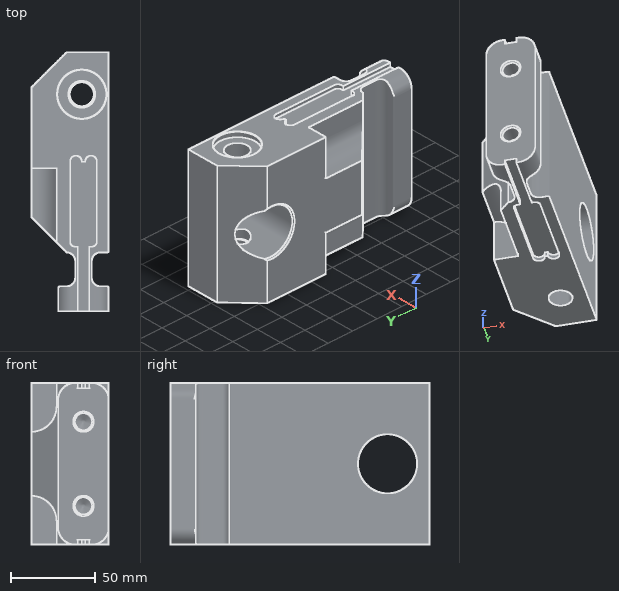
import cadquery as cq
import math

WIDTH = 46.0
LENGTH = 154.0
HEIGHT = 96.0

CENTRE_X = 31.0
FOOT_LENGTH = 15.0
NECK_LENGTH = 20.0
NECK_WIDTH = 10.0
NECK_FILLET = 5.0
BODY_CHAMFER = 21.0
EDGE_ROUND = 1.0
FOOT_CORNER_RADIUS = 10.0
FOOT_HALF_WIDTH = WIDTH - CENTRE_X
BODY_START_Y = FOOT_LENGTH + NECK_LENGTH

NOTCH_DEPTH = 15.0
NOTCH_HEIGHT = 29.0
NOTCH_END_Y = LENGTH - 69.0

BORE_DIAMETER = 35.0
BORE_CHAMFER = 1.0
BORE_Y = LENGTH - 25.0

SCREW_X = 30.0
CLEARANCE_DIAMETER = 16.0
TAPPED_DIAMETER = 14.2
TAPPED_LENGTH = 25.0
COUNTERBORE_DIAMETER = 29.0
COUNTERBORE_DEPTH = 4.0
COUNTERBORE_CHAMFER = 0.25

RECESS_DEPTH = 3.0
RECESS_WIDTH = 16.0
RECESS_START_Y = LENGTH - 115.5
RECESS_END_Y = LENGTH - 61.5
RECESS_FILLET = 3.0
LOBE_RADIUS = 3.5
CHANNEL_WIDTH = 7.0

FOOT_HOLE_DIAMETER = 10.2
FOOT_HOLE_CHAMFER = 1.0
FOOT_HOLE_DEPTH = 12.0
FOOT_HOLE_SPACING = 50.0
DRILL_POINT_ANGLE = 118.0


def box(x_range, y_range, z_range):
    """Axis-aligned box from its limits along X, Y and Z."""
    size = [high - low for low, high in (x_range, y_range, z_range)]
    corner = (x_range[0], y_range[0], z_range[0])
    return cq.Workplane("XY").box(*size, centered=False).translate(corner)


def mirrored_in_z(shape):
    """The shape together with its mirror image about mid-height."""
    return shape.union(shape.mirror("XY", (0, 0, HEIGHT / 2)))


def round_upright_edges(shape, x, y, radius):
    """Fillet the Z-parallel edge that stands at (x, y)."""
    margin = 0.05
    lower = (x - margin, y - margin, -margin)
    upper = (x + margin, y + margin, HEIGHT + margin)
    return shape.edges(cq.selectors.BoxSelector(lower, upper)).fillet(radius)


def make_body():
    outline = [
        (BODY_CHAMFER, BODY_START_Y),
        (WIDTH, BODY_START_Y),
        (WIDTH, LENGTH),
        (BODY_CHAMFER, LENGTH),
        (0, LENGTH - BODY_CHAMFER),
        (0, BODY_START_Y + BODY_CHAMFER),
    ]
    body = cq.Workplane("XY").polyline(outline).close().extrude(HEIGHT)
    return round_upright_edges(body, WIDTH, BODY_START_Y, EDGE_ROUND)


def make_foot_and_neck():
    """Foot plate and slim neck, with the foot's corner rounding carried over the flare above it."""
    foot_x = (CENTRE_X - FOOT_HALF_WIDTH, CENTRE_X + FOOT_HALF_WIDTH)
    blank = box(foot_x, (0, FOOT_LENGTH), (0, HEIGHT))
    for x in foot_x:
        blank = round_upright_edges(blank, x, FOOT_LENGTH, EDGE_ROUND)

    flare_width = NECK_WIDTH + 2 * NECK_FILLET
    neck_y = (FOOT_LENGTH, BODY_START_Y)
    neck = box((CENTRE_X - flare_width / 2, CENTRE_X + flare_width / 2), neck_y, (0, HEIGHT))
    for side in (-1, 1):
        inner_x = CENTRE_X + side * NECK_WIDTH / 2
        outer_x = inner_x + side * flare_width
        scallop = box((min(inner_x, outer_x), max(inner_x, outer_x)), neck_y, (0, HEIGHT))
        neck = neck.cut(scallop.edges("|Z").fillet(NECK_FILLET))

    mid_neck_y = FOOT_LENGTH + NECK_LENGTH / 2
    rounded_envelope = box(foot_x, (0, mid_neck_y), (0, HEIGHT))
    rounded_envelope = rounded_envelope.edges("|Y").fillet(FOOT_CORNER_RADIUS)
    square_envelope = box(foot_x, (mid_neck_y, BODY_START_Y), (0, HEIGHT))
    return blank.union(neck).intersect(rounded_envelope.union(square_envelope))


def make_notches():
    notch = box(
        (-NOTCH_DEPTH, NOTCH_DEPTH),
        (BODY_START_Y, NOTCH_END_Y),
        (HEIGHT - NOTCH_HEIGHT, HEIGHT),
    )
    notch = notch.edges("|Y and <Z and >X").fillet(NOTCH_DEPTH)
    return mirrored_in_z(notch)


def make_cross_bore():
    radius = BORE_DIAMETER / 2
    centre = cq.Vector(0, BORE_Y, HEIGHT / 2)
    along_x = cq.Vector(1, 0, 0)
    bore = cq.Solid.makeCylinder(radius, WIDTH, centre, along_x)
    chamfer = cq.Solid.makeCone(radius + BORE_CHAMFER, radius, BORE_CHAMFER, centre, along_x)
    return cq.Workplane(obj=bore).union(cq.Workplane(obj=chamfer))


def make_screw_hole():
    """Counterbored clearance hole through the cross bore, stepping to the tapped size below it."""
    tapped_radius = TAPPED_DIAMETER / 2
    clearance_radius = CLEARANCE_DIAMETER / 2
    counterbore_radius = COUNTERBORE_DIAMETER / 2
    floor = HEIGHT - COUNTERBORE_DEPTH
    profile = [
        (0, 0),
        (tapped_radius, 0),
        (tapped_radius, TAPPED_LENGTH),
        (clearance_radius, TAPPED_LENGTH),
        (clearance_radius, floor),
        (counterbore_radius, floor),
        (counterbore_radius, HEIGHT - COUNTERBORE_CHAMFER),
        (counterbore_radius + COUNTERBORE_CHAMFER, HEIGHT),
        (0, HEIGHT),
    ]
    hole = cq.Workplane("XZ").polyline(profile).close().revolve(360, (0, 0), (0, 1))
    return hole.translate((SCREW_X, BORE_Y, 0))


def make_recesses():
    """Recess ending in two round lobes, with a channel running out through the foot."""
    depth_range = (HEIGHT - RECESS_DEPTH, HEIGHT)
    lobe_y = RECESS_END_Y - LOBE_RADIUS
    half_width = RECESS_WIDTH / 2
    recess = box((CENTRE_X - half_width, CENTRE_X + half_width), (RECESS_START_Y, lobe_y), depth_range)
    recess = recess.edges("|Z and <Y").fillet(RECESS_FILLET)
    for side in (-1, 1):
        lobe_x = CENTRE_X + side * (half_width - LOBE_RADIUS)
        lobe = cq.Workplane("XY", origin=(lobe_x, lobe_y, depth_range[0]))
        recess = recess.union(lobe.circle(LOBE_RADIUS).extrude(RECESS_DEPTH))
    half_channel = CHANNEL_WIDTH / 2
    channel = box((CENTRE_X - half_channel, CENTRE_X + half_channel), (0, lobe_y), depth_range)
    return mirrored_in_z(recess.union(channel))


def make_foot_holes():
    """Two chamfered blind holes with conical bottoms."""
    radius = FOOT_HOLE_DIAMETER / 2
    tip_y = FOOT_HOLE_DEPTH + radius / math.tan(math.radians(DRILL_POINT_ANGLE / 2))
    profile = [
        (0, 0),
        (radius + FOOT_HOLE_CHAMFER, 0),
        (radius, FOOT_HOLE_CHAMFER),
        (radius, FOOT_HOLE_DEPTH),
        (0, tip_y),
    ]
    hole = cq.Workplane("XY").polyline(profile).close().revolve(360, (0, 0), (0, 1))
    upper_hole = hole.translate((CENTRE_X, 0, (HEIGHT + FOOT_HOLE_SPACING) / 2))
    return mirrored_in_z(upper_hole)


result = make_body().union(make_foot_and_neck())
result = result.cut(make_notches())
result = result.cut(make_cross_bore())
result = result.cut(make_screw_hole())
result = result.cut(make_recesses())
result = result.cut(make_foot_holes()).solids()